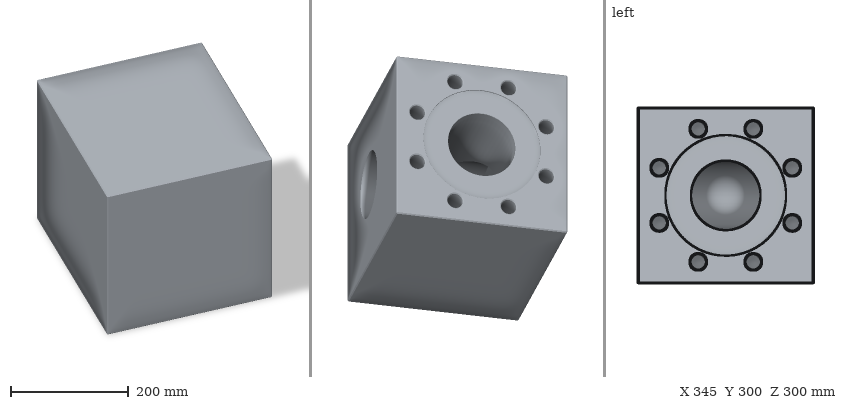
import cadquery as cq
import math

length = 345.0
side = 300.0
edge_chamfer = 2.0

bore_diameter = 118.0
bore_edge_break = 0.5
outlet_x = length / 2 - side / 2

recess_diameter = 205.19
recess_depth = 2.0
recess_edge_break = 0.3

screw_count = 8
screw_circle_diameter = 245.0
screw_start_angle = 360.0 / screw_count / 2
core_diameter = 26.5
mouth_diameter = 30.0
core_depth = 60.0
drill_tip_angle = 160.0

inlet_x = -length / 2


def make_block():
    return cq.Workplane("XY").box(length, side, side).edges().chamfer(edge_chamfer)


def inlet_cylinder(diameter, start_depth, depth, edge_break):
    """Cylinder on the X axis with a 45 degree flare at its mouth.

    It runs from start_depth to depth, both measured inward from the inlet face.
    """
    radius = diameter / 2
    return (
        cq.Workplane("XY", origin=(inlet_x, 0, 0))
        .moveTo(start_depth, 0)
        .lineTo(start_depth, radius + edge_break)
        .lineTo(start_depth + edge_break, radius)
        .lineTo(depth, radius)
        .lineTo(depth, 0)
        .close()
        .revolve(360, (0, 0, 0), (1, 0, 0))
    )


def make_recess():
    return inlet_cylinder(recess_diameter, 0, recess_depth, recess_edge_break)


def make_passage():
    """Two equal bores meeting at a right angle."""
    inlet = inlet_cylinder(bore_diameter, recess_depth, outlet_x - inlet_x, bore_edge_break)
    outlet_bottom_y = -bore_diameter / 2
    outlet_length = side / 2 - outlet_bottom_y
    outlet = (
        cq.Workplane("XZ", origin=(outlet_x, outlet_bottom_y, 0))
        .circle(bore_diameter / 2)
        .extrude(-outlet_length)
    )
    return inlet.union(outlet)


def make_screw_hole():
    """Countersunk hole with a conical drill tip, on the X axis."""
    core_radius = core_diameter / 2
    mouth_radius = mouth_diameter / 2
    countersink_depth = mouth_radius - core_radius
    tip_length = core_radius / math.tan(math.radians(drill_tip_angle / 2))
    return (
        cq.Workplane("XY", origin=(inlet_x, 0, 0))
        .lineTo(0, mouth_radius)
        .lineTo(countersink_depth, core_radius)
        .lineTo(core_depth, core_radius)
        .lineTo(core_depth + tip_length, 0)
        .close()
        .revolve(360, (0, 0, 0), (1, 0, 0))
    )


def cut_screw_holes(body):
    hole = make_screw_hole()
    for i in range(screw_count):
        angle = math.radians(screw_start_angle + i * 360.0 / screw_count)
        y = screw_circle_diameter / 2 * math.cos(angle)
        z = screw_circle_diameter / 2 * math.sin(angle)
        body = body.cut(hole.translate((0, y, z)))
    return body


body = make_block()
body = body.cut(make_passage())
body = body.cut(make_recess())
result = cut_screw_holes(body)